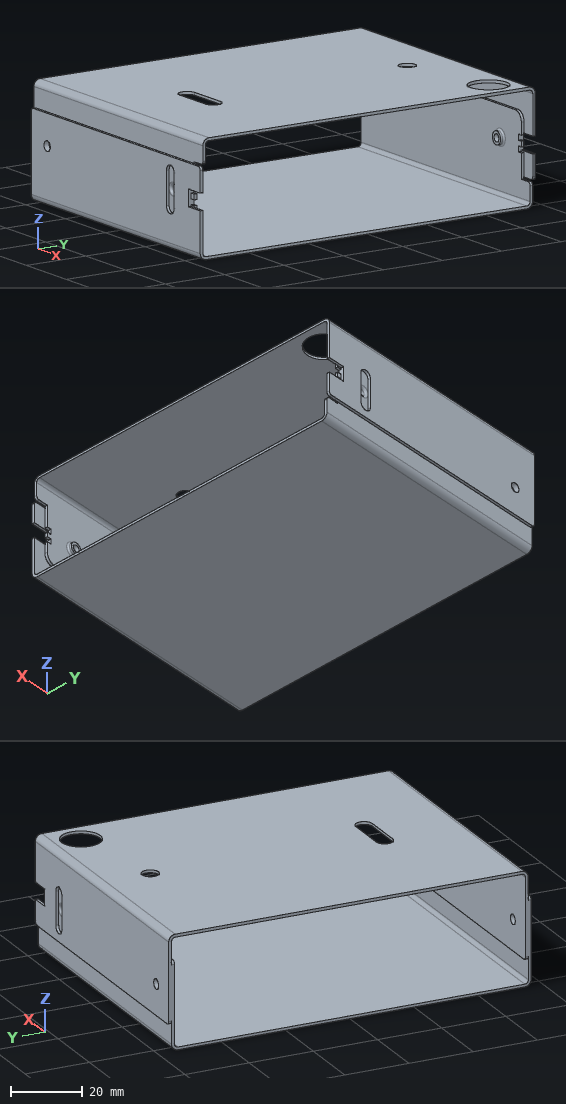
import cadquery as cq


length = 85.0
depth = 113.0
height = 35.0

sheet = 0.9
bend_outer_radius = 2.0
bend_inner_radius = bend_outer_radius - sheet

free_edge_gap = 8.0
corner_radius = 1.0
floor_z = -height / 2
wall_top_z = height / 2 - free_edge_gap
outer_wall_y = -depth / 2
inner_wall_y = depth / 2 - sheet
outer_wall_mid_y = outer_wall_y + sheet / 2
inner_wall_mid_y = inner_wall_y - sheet / 2

pin_hole_diameter = 3.0
pin_hole_x = 8.0

snap_x = 70.0
snap_slot_width = 3.8
snap_slot_height = 14.0
collar_diameter = 4.1
collar_height = 1.2
collar_root_radius = 0.6
collar_bore_diameter = 2.4
collar_mouth_radius = 0.8

notch_x = 79.1
notch_height = 5.1
outer_notch_top_z = 1.9
inner_wall_end_x = 80.6
inner_wall_end_radius = 3.0
inner_wall_step_z = -10.0
slit_width = notch_height / 3
tongue_mid_z = 0.17

access_hole_diameter = 12.0
access_hole_centre = (76.4, 46.4)
mount_x = 44.5
mount_width = 5.1
mount_hole_y = 40.5
mount_slot_y = -29.4
mount_slot_length = 18.1


def block(x_range, y_range, z_range):
    """Box spanning the given (low, high) ranges."""
    ranges = (x_range, y_range, z_range)
    size = [high - low for low, high in ranges]
    corner = cq.Vector(*[low for low, high in ranges])
    return cq.Workplane("XY").box(*size, centered=False).translate(corner)


def cylinder_along_y(diameter, x, start_y, end_y):
    """Cylinder on the centre height, running along Y from start_y to end_y."""
    plane = cq.Workplane("XZ", origin=(x, start_y, 0))
    return plane.circle(diameter / 2).extrude(start_y - end_y)


def round_corners(body, wall_mid_y, corners, radius=corner_radius):
    """Round the wall corners at the given (x, z) places."""
    edges = cq.Workplane("XY").newObject([])
    for x, z in corners:
        edges = edges.add(body.edges("|Y").edges(cq.NearestToPointSelector((x, wall_mid_y, z))))
    return body.newObject(edges.vals()).fillet(radius)


def bent_sheet():
    """U-shaped sheet with rounded bends, open upward."""
    width = inner_wall_y - outer_wall_y
    middle_y = (inner_wall_y + outer_wall_y) / 2
    wall_height = wall_top_z - floor_z

    def rounded_block(inset, radius):
        body = cq.Workplane("XY", origin=(length / 2, middle_y, floor_z + inset))
        body = body.box(length, width - 2 * inset, wall_height - inset, centered=(True, True, False))
        return body.edges("|X and <Z").fillet(radius)

    return rounded_block(0, bend_outer_radius).cut(rounded_block(sheet, bend_inner_radius))


def cut_outer_wall(body):
    """Snap slot, end notch and rounded free corners of the outer wall."""
    wall_range = (outer_wall_y, outer_wall_y + sheet)
    slot = (
        cq.Workplane("XZ", origin=(snap_x, outer_wall_y, 0))
        .slot2D(snap_slot_height, snap_slot_width, 90)
        .extrude(-sheet)
    )
    notch = block((notch_x, length), wall_range, (outer_notch_top_z - notch_height, outer_notch_top_z))
    body = body.cut(slot).cut(notch)
    free_corners = [(0, wall_top_z), (length, wall_top_z)]
    return round_corners(body, outer_wall_mid_y, free_corners)


def cut_inner_wall(body):
    """Shortened end with a tongue between two slits on the inner wall."""
    wall_range = (inner_wall_y - sheet, inner_wall_y)
    body = body.cut(block((inner_wall_end_x, length), wall_range, (inner_wall_step_z, wall_top_z)))
    free_corners = [(0, wall_top_z), (length, inner_wall_step_z)]
    body = round_corners(body, inner_wall_mid_y, free_corners)
    end_corner = [(inner_wall_end_x, wall_top_z)]
    body = round_corners(body, inner_wall_mid_y, end_corner, inner_wall_end_radius)
    for side in (-1, 1):
        slit_mid_z = tongue_mid_z + side * slit_width
        slit_range = (slit_mid_z - slit_width / 2, slit_mid_z + slit_width / 2)
        body = body.cut(block((notch_x, inner_wall_end_x), wall_range, slit_range))
    return body


def add_collar(body):
    """Bored collar on the inside of the inner wall, with a rounded mouth on its outer face."""
    wall_inside_y = inner_wall_y - sheet
    collar_end_y = wall_inside_y - collar_height
    body = body.union(cylinder_along_y(collar_diameter, snap_x, wall_inside_y, collar_end_y))
    root = cq.NearestToPointSelector((snap_x, wall_inside_y, 0))
    body = body.edges("%CIRCLE").edges(root).fillet(collar_root_radius)
    body = body.cut(cylinder_along_y(collar_bore_diameter, snap_x, inner_wall_y, collar_end_y))
    mouth = cq.NearestToPointSelector((snap_x, inner_wall_y, 0))
    return body.edges("%CIRCLE").edges(mouth).fillet(collar_mouth_radius)


def make_channel():
    """Upward-opening channel with every feature its two walls carry."""
    body = add_collar(bent_sheet())
    body = cut_outer_wall(body)
    body = cut_inner_wall(body)
    return body.cut(cylinder_along_y(pin_hole_diameter, pin_hole_x, outer_wall_y, inner_wall_y))


def cut_top_panel(body):
    """Access hole, mounting hole and mounting slot through the top panel."""
    panel = cq.Workplane("XY", origin=(0, 0, height / 2))
    access_hole = panel.moveTo(*access_hole_centre).circle(access_hole_diameter / 2).extrude(-sheet)
    mount_hole = panel.moveTo(mount_x, mount_hole_y).circle(mount_width / 2).extrude(-sheet)
    mount_slot = panel.moveTo(mount_x, mount_slot_y).slot2D(mount_slot_length, mount_width).extrude(-sheet)
    return body.cut(access_hole).cut(mount_hole).cut(mount_slot)


lower_channel = make_channel()
upper_channel = cut_top_panel(lower_channel.rotate((0, 0, 0), (1, 0, 0), 180))
result = lower_channel.union(upper_channel)